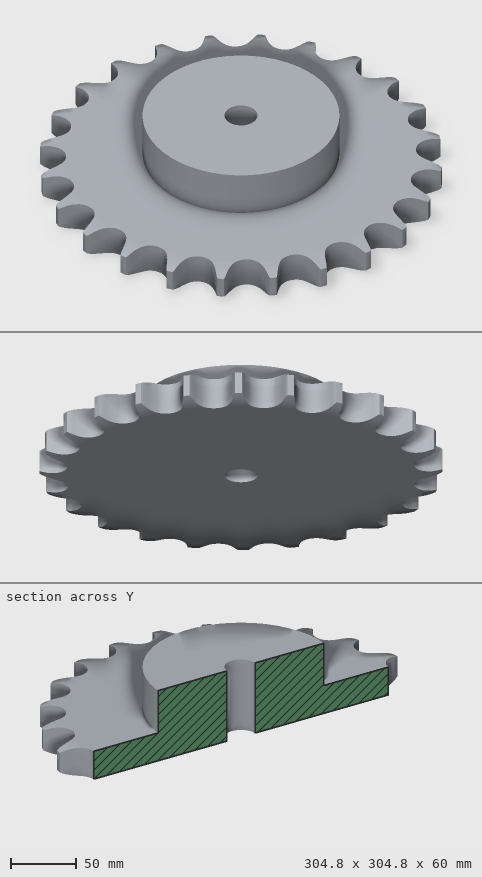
import cadquery as cq
import math

TOOTH_COUNT = 24
CHAIN_PITCH = 38.0
ROLLER_DIAMETER = 25.3
SEAT_CLEARANCE = 0.075
OVERALL_WIDTH = 304.8
PLATE_THICKNESS = 24.0
BEVEL_START_RADIUS = 137.2
BEVEL_ARC_RADIUS = CHAIN_PITCH
TOTAL_HEIGHT = 60.0
HUB_DIAMETER = 150.0
BORE_DIAMETER = 25.0

TOOTH_ANGLE = 360 / TOOTH_COUNT
PITCH_RADIUS = CHAIN_PITCH / 2 / math.sin(math.radians(TOOTH_ANGLE / 2))

SEAT_RADIUS = (1.005 * ROLLER_DIAMETER + SEAT_CLEARANCE) / 2
WORKING_RADIUS = 1.3025 * ROLLER_DIAMETER + SEAT_CLEARANCE / 2
SEAT_END_ANGLE = 35 + 60 / TOOTH_COUNT
WORKING_ARC_ANGLE = 18 - 56 / TOOTH_COUNT
TOPPING_CENTRE_ANGLE = 17 - 64 / TOOTH_COUNT
WORKING_CENTRE_REACH = 0.8 * ROLLER_DIAMETER
TOPPING_CENTRE_REACH = 1.4 * ROLLER_DIAMETER
STRAIGHT_LENGTH = (
    TOPPING_CENTRE_REACH * math.sin(math.radians(TOPPING_CENTRE_ANGLE))
    - WORKING_CENTRE_REACH * math.sin(math.radians(WORKING_ARC_ANGLE))
)
TOPPING_RADIUS = (
    WORKING_CENTRE_REACH * math.cos(math.radians(WORKING_ARC_ANGLE))
    + TOPPING_CENTRE_REACH * math.cos(math.radians(TOPPING_CENTRE_ANGLE))
    - WORKING_RADIUS
)


def polar(centre, radius, degrees):
    """Point at a distance and direction from a centre."""
    angle = math.radians(degrees)
    return (centre[0] + radius * math.cos(angle), centre[1] + radius * math.sin(angle))


def turned(point, degrees):
    """Point rotated about the sprocket axis."""
    return polar((0, 0), math.hypot(*point), math.degrees(math.atan2(point[1], point[0])) + degrees)


def half_gap_points():
    """Right flank of the gap on +Y, from the gap bottom up to the tooth tip."""
    roller_centre = (0, PITCH_RADIUS)
    bottom = polar(roller_centre, SEAT_RADIUS, -90)
    seat_middle = polar(roller_centre, SEAT_RADIUS, -(90 + SEAT_END_ANGLE) / 2)
    seat_end = polar(roller_centre, SEAT_RADIUS, -SEAT_END_ANGLE)

    working_centre = polar(roller_centre, WORKING_RADIUS - SEAT_RADIUS, 180 - SEAT_END_ANGLE)
    straight_normal = WORKING_ARC_ANGLE - SEAT_END_ANGLE
    working_middle = polar(working_centre, WORKING_RADIUS, WORKING_ARC_ANGLE / 2 - SEAT_END_ANGLE)
    working_end = polar(working_centre, WORKING_RADIUS, straight_normal)
    straight_end = polar(working_end, STRAIGHT_LENGTH, straight_normal + 90)

    topping_centre = polar(straight_end, TOPPING_RADIUS, straight_normal)
    start_direction = straight_normal + 180
    tip_rise = OVERALL_WIDTH / 2 - topping_centre[1]
    tip_direction = 180 - math.degrees(math.asin(tip_rise / TOPPING_RADIUS))
    topping_middle = polar(topping_centre, TOPPING_RADIUS, (start_direction + tip_direction) / 2)
    tip = polar(topping_centre, TOPPING_RADIUS, tip_direction)
    return (
        bottom, seat_middle, seat_end, working_middle, working_end,
        straight_end, topping_middle, tip,
    )


RIGHT_FLANK = half_gap_points()
LEFT_FLANK = [(-x, y) for x, y in RIGHT_FLANK]
OUTER_RADIUS = math.hypot(*RIGHT_FLANK[-1])


def tooth_prism():
    """Full-height prism with the toothed outline."""
    tip_middle = polar((0, 0), OUTER_RADIUS, 90 - TOOTH_ANGLE / 2)

    outline = cq.Workplane("XY").moveTo(*LEFT_FLANK[-1])
    for gap in range(TOOTH_COUNT):
        turn = -gap * TOOTH_ANGLE
        bottom, seat_mid, seat_end, work_mid, work_end, straight_end, top_mid, tip = [
            turned(point, turn) for point in LEFT_FLANK
        ]
        outline = outline.threePointArc(top_mid, straight_end)
        outline = outline.lineTo(*work_end)
        outline = outline.threePointArc(work_mid, seat_end)
        outline = outline.threePointArc(seat_mid, bottom)

        bottom, seat_mid, seat_end, work_mid, work_end, straight_end, top_mid, tip = [
            turned(point, turn) for point in RIGHT_FLANK
        ]
        outline = outline.threePointArc(seat_mid, seat_end)
        outline = outline.threePointArc(work_mid, work_end)
        outline = outline.lineTo(*straight_end)
        outline = outline.threePointArc(top_mid, tip)
        next_tip = turned(LEFT_FLANK[-1], turn - TOOTH_ANGLE)
        outline = outline.threePointArc(turned(tip_middle, turn), next_tip)
    return outline.close().extrude(TOTAL_HEIGHT, clean=False)


def turned_blank():
    """Bored plate and hub, with the rim rounded on both faces."""
    bore_radius = BORE_DIAMETER / 2
    hub_radius = HUB_DIAMETER / 2
    rim_width = OUTER_RADIUS - BEVEL_START_RADIUS

    def bevel_drop(distance):
        return BEVEL_ARC_RADIUS - math.sqrt(BEVEL_ARC_RADIUS**2 - distance**2)

    rim_drop = bevel_drop(rim_width)
    middle_radius = BEVEL_START_RADIUS + rim_width / 2
    middle_drop = bevel_drop(rim_width / 2)
    return (
        cq.Workplane("XZ")
        .moveTo(bore_radius, 0)
        .lineTo(BEVEL_START_RADIUS, 0)
        .threePointArc((middle_radius, middle_drop), (OUTER_RADIUS, rim_drop))
        .lineTo(OUTER_RADIUS, PLATE_THICKNESS - rim_drop)
        .threePointArc(
            (middle_radius, PLATE_THICKNESS - middle_drop), (BEVEL_START_RADIUS, PLATE_THICKNESS)
        )
        .lineTo(hub_radius, PLATE_THICKNESS)
        .lineTo(hub_radius, TOTAL_HEIGHT)
        .lineTo(bore_radius, TOTAL_HEIGHT)
        .close()
        .revolve(360, (0, 0, 0), (0, 1, 0))
    )


result = turned_blank().intersect(tooth_prism(), clean=False)